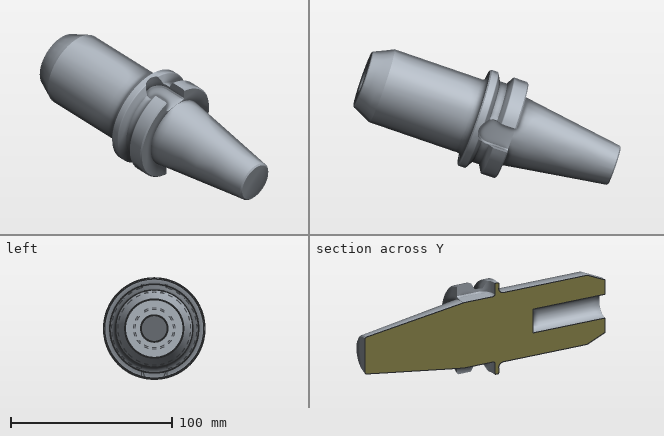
import cadquery as cq
import math

TOTAL_LENGTH = 165.4

NOSE_RADIUS = 18.4
NOSE_CHAMFER = 0.5
NOSE_CONE_END = 12.5
BODY_RADIUS = 24.0
BODY_END = 68.6
NECK_START = 69.8
NECK_RADIUS = 23.9
NECK_FILLET = 3.5

FLANGE_RADIUS = 31.51
FLANGE_START = 73.0
FLANGE_END = 98.0
FLANGE_CHAMFER = 0.8
GROOVE_START = 78.0
GROOVE_END = 88.5
GROOVE_FLOOR_RADIUS = 26.5
GROOVE_WALL_ANGLE = 60.0
GROOVE_EDGE_RADIUS = 0.8

TAPER_RATIO = 7 / 24
TAPER_END_RADIUS = 12.7
TAPER_END_CHAMFER = 0.8

BORE_DIAMETER = 16.0
BORE_CHAMFER = 0.5
BORE_DEPTH = 49.6
SLOT_WIDTH = 16.0
SLOT_START = 76.1
SLOT_FLOOR = 22.7
SLOT_FLOOR_CHAMFER = 0.8


def turned_body():
    """Revolve the outer half profile, drawn as (axial, radial) points."""
    fillet_end_x = NECK_START + NECK_FILLET
    fillet_end_radius = NECK_RADIUS + NECK_FILLET
    recess_depth = fillet_end_x - FLANGE_START
    fillet_mid = (
        NECK_START + NECK_FILLET * math.sin(math.pi / 4),
        NECK_RADIUS + NECK_FILLET * (1 - math.cos(math.pi / 4)),
    )
    wall_slope = math.tan(math.radians(GROOVE_WALL_ANGLE))
    groove_wall_run = (FLANGE_RADIUS - GROOVE_FLOOR_RADIUS) / wall_slope
    taper_start_radius = TAPER_END_RADIUS + (TOTAL_LENGTH - FLANGE_END) * TAPER_RATIO / 2

    profile = (
        cq.Workplane("XZ")
        .moveTo(0, 0)
        .lineTo(0, NOSE_RADIUS - NOSE_CHAMFER)
        .lineTo(NOSE_CHAMFER, NOSE_RADIUS)
        .lineTo(NOSE_CONE_END, BODY_RADIUS)
        .lineTo(BODY_END, BODY_RADIUS)
        .lineTo(NECK_START, NECK_RADIUS)
        .threePointArc(fillet_mid, (fillet_end_x, fillet_end_radius))
        .lineTo(FLANGE_START, fillet_end_radius + recess_depth)
        .lineTo(FLANGE_START, FLANGE_RADIUS)
        .lineTo(GROOVE_START, FLANGE_RADIUS)
        .lineTo(GROOVE_START + groove_wall_run, GROOVE_FLOOR_RADIUS)
        .lineTo(GROOVE_END - groove_wall_run, GROOVE_FLOOR_RADIUS)
        .lineTo(GROOVE_END, FLANGE_RADIUS)
        .lineTo(FLANGE_END, FLANGE_RADIUS)
        .lineTo(FLANGE_END, taper_start_radius)
        .lineTo(TOTAL_LENGTH, TAPER_END_RADIUS)
        .lineTo(TOTAL_LENGTH, 0)
        .close()
    )
    body = profile.revolve(360, (0, 0, 0), (1, 0, 0))
    body = soften_rims(body)
    return body.faces(">X").edges().chamfer(TAPER_END_CHAMFER)


def rim_edges(body, positions):
    """Circular edges of the flange outer diameter at the given X positions."""
    tolerance = 0.02

    def on_rim(edge):
        if edge.geomType() != "CIRCLE" or edge.radius() < FLANGE_RADIUS - tolerance:
            return False
        return any(abs(edge.Center().x - x) < tolerance for x in positions)

    return body.newObject([edge for edge in body.edges().vals() if on_rim(edge)])


def soften_rims(body):
    """Chamfer the outer rims of the flange and round the groove mouth."""
    body = rim_edges(body, (FLANGE_START, FLANGE_END)).chamfer(FLANGE_CHAMFER)
    return rim_edges(body, (GROOVE_START, GROOVE_END)).fillet(GROOVE_EDGE_RADIUS)


def drive_slot():
    """Cutter for the +Z drive slot: round inner end, open at the flange back."""
    half_width = SLOT_WIDTH / 2
    center_x = SLOT_START + half_width
    height = FLANGE_RADIUS - SLOT_FLOOR + 1.7
    return (
        cq.Workplane("XY", origin=(0, 0, SLOT_FLOOR))
        .moveTo(TOTAL_LENGTH, half_width)
        .lineTo(center_x, half_width)
        .threePointArc((SLOT_START, 0), (center_x, -half_width))
        .lineTo(TOTAL_LENGTH, -half_width)
        .close()
        .extrude(height)
        .faces("<Z")
        .edges("not >X")
        .chamfer(SLOT_FLOOR_CHAMFER)
    )


def bore():
    """Cutter for the blind tool bore with a chamfered mouth."""
    radius = BORE_DIAMETER / 2
    return (
        cq.Workplane("XY")
        .lineTo(0, radius + BORE_CHAMFER)
        .lineTo(BORE_CHAMFER, radius)
        .lineTo(BORE_DEPTH, radius)
        .lineTo(BORE_DEPTH, 0)
        .close()
        .revolve(360, (0, 0, 0), (1, 0, 0))
    )


result = turned_body().cut(bore())
for slot_angle in (0, 180):
    result = result.cut(drive_slot().rotate((0, 0, 0), (1, 0, 0), slot_angle))